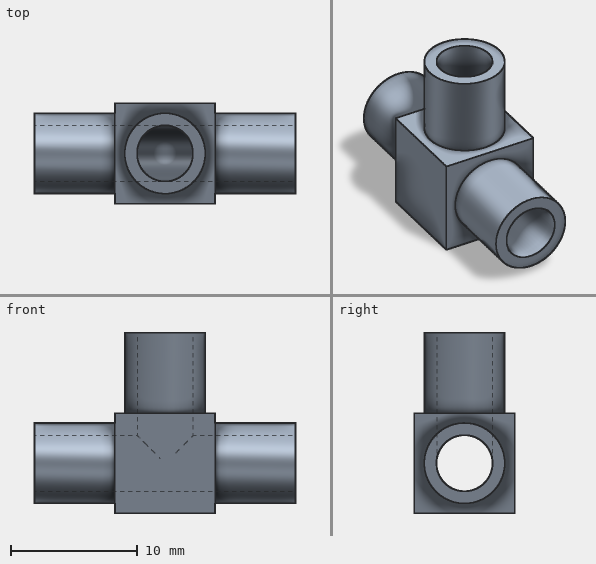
import cadquery as cq

run_length = 20.6
tube_length = 6.35
tube_diameter = 6.35
bore_diameter = 4.4
block_depth = 7.95

block_side = run_length - 2 * tube_length
branch_top = block_side / 2 + tube_length


def run_cylinder(diameter):
    """Cylinder along X over the full run, centred on the origin."""
    return cq.Workplane("YZ").circle(diameter / 2).extrude(run_length / 2, both=True)


def branch_cylinder(diameter):
    """Cylinder along Z from the run axis up to the end of the branch."""
    return cq.Workplane("XY").circle(diameter / 2).extrude(branch_top)


block = cq.Workplane("XY").box(block_side, block_depth, block_side)
body = block.union(run_cylinder(tube_diameter)).union(branch_cylinder(tube_diameter))

result = body.cut(run_cylinder(bore_diameter)).cut(branch_cylinder(bore_diameter))